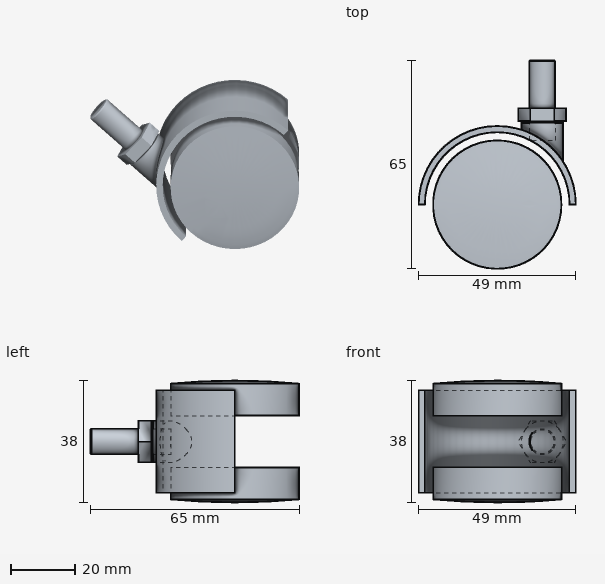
import cadquery as cq
import math


wheel_radius = 20.0
wheel_rim_width = 10.0
wheel_dome_height = 1.0
overall_height = 38.0
wheel_inner_z = overall_height / 2 - wheel_dome_height - wheel_rim_width

shell_outer_radius = 24.5
shell_thickness = 2.0
shell_inner_radius = shell_outer_radius - shell_thickness
shell_height = 32.0
boss_radius = 6.5
boss_top_y = 25.5

stem_x = 14.0
stem_radius = 4.0
stem_bottom_y = wheel_radius
stem_top_y = 65 - wheel_radius
stem_chamfer = 0.4
hex_across_flats = 2 * boss_radius
hex_across_corners = hex_across_flats / math.cos(math.radians(30))
hex_bottom_y = 26.0
hex_thickness = 4.0


def stem_axis_plane(y):
    """Plane on the stem axis at height y, facing along +Y."""
    return cq.Workplane(cq.Plane(origin=(stem_x, y, 0), xDir=(1, 0, 0), normal=(0, 1, 0)))


def make_wheel(side):
    """One wheel with a domed outer face; side is +1 (upper) or -1 (lower)."""
    rim_z = wheel_inner_z + wheel_rim_width
    crown_z = rim_z + wheel_dome_height
    dome_radius = (wheel_radius**2 + wheel_dome_height**2) / (2 * wheel_dome_height)
    mid_x = wheel_radius / 2
    mid_z = crown_z - dome_radius + math.sqrt(dome_radius**2 - mid_x**2)
    profile = (
        cq.Workplane("XZ")
        .moveTo(0, side * wheel_inner_z)
        .lineTo(wheel_radius, side * wheel_inner_z)
        .lineTo(wheel_radius, side * rim_z)
        .threePointArc((mid_x, side * mid_z), (0, side * crown_z))
        .close()
    )
    return profile.revolve(360, (0, 0, 0), (0, 1, 0))


def make_stem_shaft():
    """Plain round shaft with a chamfered free end."""
    shaft = stem_axis_plane(stem_bottom_y).circle(stem_radius).extrude(stem_top_y - stem_bottom_y)
    return shaft.faces(">Y").chamfer(stem_chamfer)


def make_stem():
    """Shaft and hexagonal collar, with two collar corners pointing along X."""
    collar = stem_axis_plane(hex_bottom_y).polygon(6, hex_across_corners).extrude(hex_thickness)
    return make_stem_shaft().union(collar)


def make_housing():
    """Half-round shell and boss, with a hole that the stem fills."""
    shell = (
        cq.Workplane("XY")
        .moveTo(shell_outer_radius, 0)
        .threePointArc((0, shell_outer_radius), (-shell_outer_radius, 0))
        .lineTo(-shell_inner_radius, 0)
        .threePointArc((0, shell_inner_radius), (shell_inner_radius, 0))
        .close()
        .extrude(shell_height / 2, both=True)
    )
    mid_wall_radius = shell_outer_radius - shell_thickness / 2
    inside = cq.Workplane("XY").circle(mid_wall_radius).extrude(shell_height / 2, both=True)
    boss = stem_axis_plane(0).circle(boss_radius).extrude(boss_top_y).cut(inside)
    return shell.union(boss).cut(make_stem_shaft())


housing = make_housing()
stem = make_stem()
wheels = [make_wheel(side) for side in (1, -1)]

result = cq.Compound.makeCompound([housing.val(), stem.val(), *[wheel.val() for wheel in wheels]])